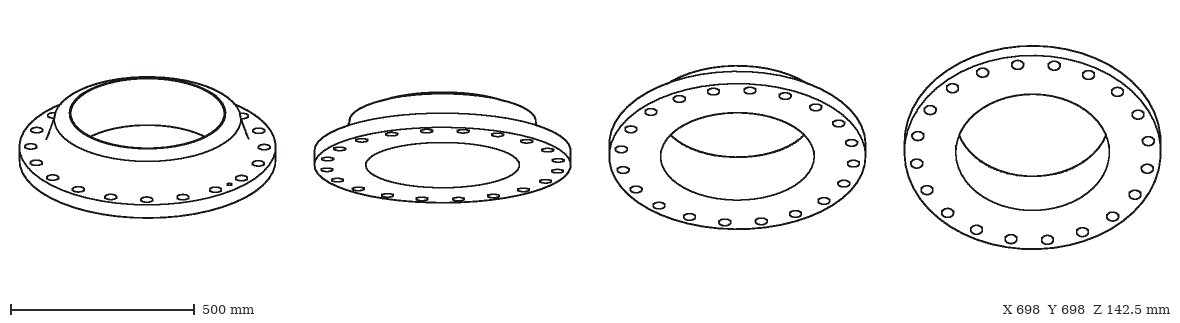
import cadquery as cq
import math

flange_diameter = 698.0
flange_thickness = 40.5
overall_height = 142.5
bore_diameter = 418.0

hub_base_diameter = 558.5
hub_top_diameter = 508.5
hub_shoulder_height = 125.0
hub_rim_height = 6.0
hub_base_fillet = 3.0

land_width = 3.5
bevel_knee_diameter = 457.0
bevel_knee_height = 129.0
bevel_knee_fillet = 3.5

bolt_hole_count = 20
bolt_hole_diameter = 32.0
bolt_circle_diameter = 635.5
bolt_pitch_angle = 360 / bolt_hole_count

small_hole_diameter = 12.5
small_hole_depth = flange_thickness / 2
small_hole_tip_diameter = 7.0
small_hole_tip_depth = 3.5


def on_bolt_circle(angle):
    """Point on the bolt circle at an angle in degrees from +X."""
    radius = bolt_circle_diameter / 2
    return radius * math.cos(math.radians(angle)), radius * math.sin(math.radians(angle))


def make_body():
    """Weld-neck body, revolved from one half section about Z."""
    bore_radius = bore_diameter / 2
    flange_radius = flange_diameter / 2
    hub_top_radius = hub_top_diameter / 2
    section = (
        cq.Workplane("XZ")
        .moveTo(bore_radius, 0)
        .lineTo(flange_radius, 0)
        .lineTo(flange_radius, flange_thickness)
        .lineTo(hub_base_diameter / 2, flange_thickness)
        .lineTo(hub_top_radius, hub_shoulder_height - hub_rim_height)
        .lineTo(hub_top_radius, hub_shoulder_height)
        .lineTo(bevel_knee_diameter / 2, bevel_knee_height)
        .lineTo(bore_radius + land_width, overall_height)
        .lineTo(bore_radius, overall_height)
        .close()
    )
    return section.revolve(360, (0, 0, 0), (0, 1, 0))


def fillet_circle(body, diameter, fillet_radius):
    """Round the circular edge that has the given diameter."""
    edges = body.edges("%CIRCLE").filter(lambda edge: math.isclose(2 * edge.radius(), diameter))
    return edges.fillet(fillet_radius)


def make_bolt_holes():
    """Ring of through holes, the first one on +X."""
    centres = [on_bolt_circle(i * bolt_pitch_angle) for i in range(bolt_hole_count)]
    return cq.Workplane("XY").pushPoints(centres).circle(bolt_hole_diameter / 2).extrude(flange_thickness)


def make_small_hole():
    """Stepped hole sunk into the flange top, midway between the first two bolt holes."""
    x, y = on_bolt_circle(bolt_pitch_angle / 2)
    mouth = cq.Workplane("XY", origin=(x, y, flange_thickness))
    wide_part = mouth.circle(small_hole_diameter / 2).extrude(-small_hole_depth)
    narrow_part = mouth.circle(small_hole_tip_diameter / 2).extrude(-small_hole_depth - small_hole_tip_depth)
    return wide_part.union(narrow_part)


body = make_body()
body = fillet_circle(body, hub_base_diameter, hub_base_fillet)
body = fillet_circle(body, bevel_knee_diameter, bevel_knee_fillet)
result = body.cut(make_bolt_holes()).cut(make_small_hole())